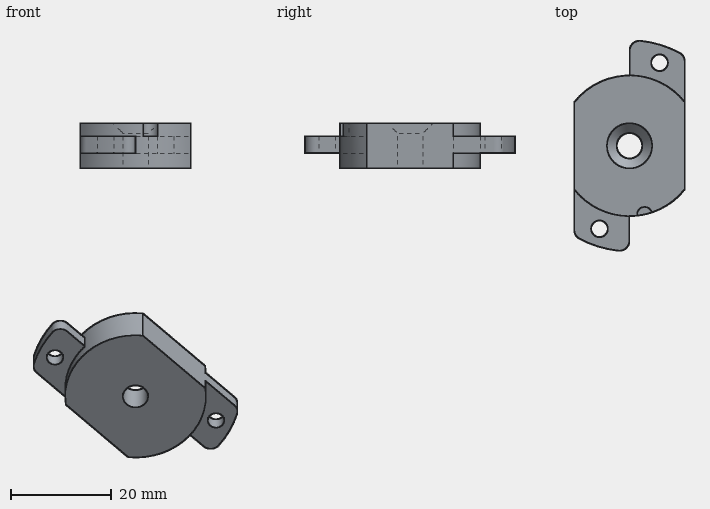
import cadquery as cq
import math

length = 41.8
width = 22.0
height = 9.0
half_width = width / 2
body_radius = 14.0

ear_bottom = 3.0
ear_top = 6.4
ear_thickness = ear_top - ear_bottom
ear_corner_radius = 2.0
ear_hole_diameter = 3.25
ear_hole_x = 5.97
ear_hole_y = 16.5
ear_tip_radius = ear_corner_radius + math.hypot(length / 2 - ear_corner_radius, ear_corner_radius)

bore_diameter = 5.0
sink_diameter = 9.0
sink_angle = 90

notch_radius = 1.5
notch_x = 3.0
notch_y = -13.65


def make_body():
    slab = cq.Workplane("XY").box(width, 2 * body_radius, height, centered=(True, True, False))
    disc = cq.Workplane("XY").circle(body_radius).extrude(height)
    return disc.intersect(slab)


def make_ear():
    """Ear in the +X, +Y quadrant, rooted where the flat meets the rim of the body."""
    root_y = math.sqrt(body_radius**2 - half_width**2)
    outer_tip_y = math.sqrt(ear_tip_radius**2 - half_width**2)
    mid_x = half_width / 2
    mid_tip_y = math.sqrt(ear_tip_radius**2 - mid_x**2)
    ear = (
        cq.Workplane("XY")
        .workplane(offset=ear_bottom)
        .moveTo(0, root_y)
        .lineTo(half_width, root_y)
        .lineTo(half_width, outer_tip_y)
        .threePointArc((mid_x, mid_tip_y), (0, ear_tip_radius))
        .close()
        .extrude(ear_thickness)
    )
    tip_corners = ear.faces(">Y").edges("|Z")
    rounded = tip_corners.fillet(ear_corner_radius)
    hole = (
        cq.Workplane("XY")
        .center(ear_hole_x, ear_hole_y)
        .circle(ear_hole_diameter / 2)
        .extrude(height)
    )
    return rounded.cut(hole)


def make_notch():
    return (
        cq.Workplane("XY")
        .workplane(offset=ear_top)
        .center(notch_x, notch_y)
        .circle(notch_radius)
        .extrude(height - ear_top)
    )


result = make_body()
for angle in (0, 180):
    result = result.union(make_ear().rotate((0, 0, 0), (0, 0, 1), angle))
result = result.cut(make_notch())
result = (
    result.faces(">Z")
    .workplane(origin=(0, 0, height))
    .cskHole(bore_diameter, sink_diameter, sink_angle)
)